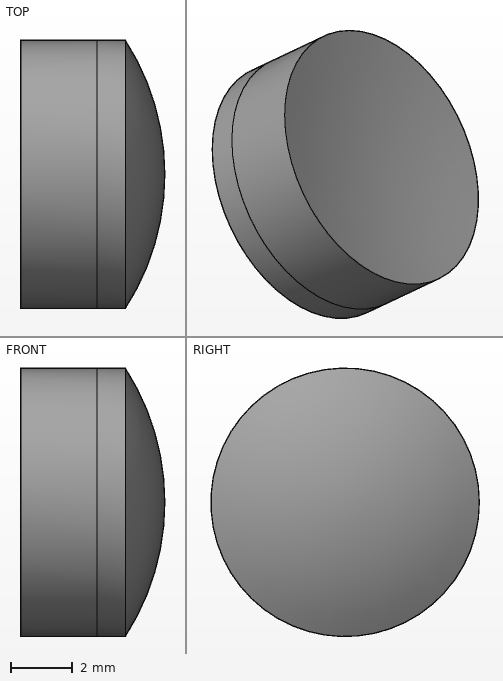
import cadquery as cq
import math

lens_diameter = 8.67
lens_radius = lens_diameter / 2
joint_x = 2.46
convex_rim_x = 3.38
convex_apex_x = 4.66
concave_depth = 0.46


def arc_midpoint(rim_x, apex_x):
    """Point halfway along the spherical profile from the rim to the apex."""
    sag = apex_x - rim_x
    sphere_radius = (lens_radius**2 + sag**2) / (2 * sag)
    half_angle = math.asin(lens_radius / sphere_radius) / 2
    center_x = apex_x - sphere_radius
    return (
        center_x + sphere_radius * math.cos(half_angle),
        sphere_radius * math.sin(half_angle),
    )


def revolve_about_axis(half_profile):
    return half_profile.revolve(360, (0, 0, 0), (1, 0, 0))


def make_concave_element():
    """Element with a concave spherical face and a flat joint face."""
    half_profile = (
        cq.Workplane("XY")
        .moveTo(0, lens_radius)
        .threePointArc(arc_midpoint(0, concave_depth), (concave_depth, 0))
        .lineTo(joint_x, 0)
        .lineTo(joint_x, lens_radius)
        .close()
    )
    return revolve_about_axis(half_profile)


def make_convex_element():
    """Element with a flat joint face, a short cylindrical edge and a convex spherical face."""
    half_profile = (
        cq.Workplane("XY")
        .moveTo(joint_x, 0)
        .lineTo(joint_x, lens_radius)
        .lineTo(convex_rim_x, lens_radius)
        .threePointArc(arc_midpoint(convex_rim_x, convex_apex_x), (convex_apex_x, 0))
        .close()
    )
    return revolve_about_axis(half_profile)


concave_element = make_concave_element()
convex_element = make_convex_element()

result = cq.Compound.makeCompound([concave_element.val(), convex_element.val()])